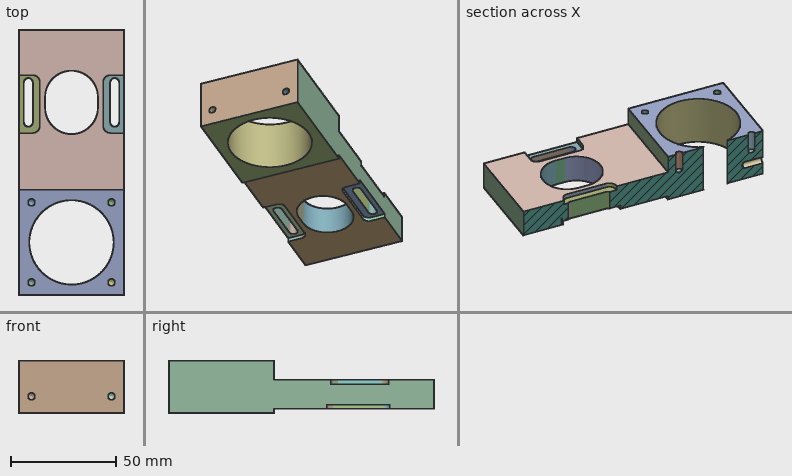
import cadquery as cq
import math

WIDTH = 50.0
TOTAL_LENGTH = 126.0
BLOCK_LENGTH = 50.0
BLOCK_HEIGHT = 25.0
ARM_BOTTOM = 2.0
ARM_TOP = 16.0

BORE_DIAMETER = 40.0

SCREW_DIAMETER = 3.3
SCREW_DEPTH = 10.0
SCREW_SPACING = 38.0
DRILL_POINT_ANGLE = 118.0
FRONT_SCREW_HEIGHT = 8.0

WINDOW_WIDTH = 25.0
WINDOW_LENGTH = 30.0
WINDOW_Y = TOTAL_LENGTH - 34.5
SLOT_WIDTH = 4.2
SLOT_LENGTH = 23.0
SLOT_SPACING = 41.0

RECESS_REACH = 10.0
UPPER_RECESS_LENGTH = 27.5
UPPER_RECESS_Y = TOTAL_LENGTH - 35.3
UPPER_RECESS_DEPTH = 2.2
UPPER_RECESS_RADIUS = 3.5
LOWER_RECESS_LENGTH = 30.0
LOWER_RECESS_Y = TOTAL_LENGTH - 36.0
LOWER_RECESS_DEPTH = 2.0
LOWER_RECESS_RADIUS = 3.0

BLOCK_CENTER_Y = BLOCK_LENGTH / 2
SIDES = (-1, 1)


def box(length_y, start_y, bottom, top):
    """Full-width box running from start_y toward +Y."""
    return (
        cq.Workplane("XY", origin=(0, start_y, bottom))
        .rect(WIDTH, length_y)
        .extrude(top - bottom)
        .translate((0, length_y / 2, 0))
    )


def make_body():
    """Tall block at the front with the thinner arm behind it."""
    block = box(BLOCK_LENGTH, 0, 0, BLOCK_HEIGHT)
    arm = box(TOTAL_LENGTH - BLOCK_LENGTH, BLOCK_LENGTH, ARM_BOTTOM, ARM_TOP)
    return block.union(arm)


def bore():
    return cq.Workplane("XY").center(0, BLOCK_CENTER_Y).circle(BORE_DIAMETER / 2).extrude(BLOCK_HEIGHT)


def screw_hole(mouth, direction):
    """Blind hole with a conical tip, starting at mouth and running along direction."""
    radius = SCREW_DIAMETER / 2
    tip_length = radius / math.tan(math.radians(DRILL_POINT_ANGLE / 2))
    start = cq.Vector(*mouth)
    axis = cq.Vector(*direction)
    shaft = cq.Solid.makeCylinder(radius, SCREW_DEPTH, start, axis)
    tip = cq.Solid.makeCone(radius, 0, tip_length, start + axis * SCREW_DEPTH, axis)
    return cq.Workplane(obj=shaft).union(cq.Workplane(obj=tip))


def arm_slot(x, length, width):
    """Round-ended opening through the arm, long axis along Y."""
    return (
        cq.Workplane("XY", origin=(x, WINDOW_Y, ARM_BOTTOM))
        .slot2D(length, width, 90)
        .extrude(ARM_TOP - ARM_BOTTOM)
    )


def side_recess(side, center_y, length, bottom, depth, radius):
    """Shallow recess open at one side of the arm, its inner corners rounded."""
    return (
        cq.Workplane("XY", origin=(side * WIDTH / 2, center_y, bottom))
        .rect(2 * RECESS_REACH, length)
        .extrude(depth)
        .edges("|Z")
        .fillet(radius)
    )


result = make_body().cut(bore())

for side in SIDES:
    screw_x = side * SCREW_SPACING / 2
    for end in SIDES:
        screw_y = BLOCK_CENTER_Y + end * SCREW_SPACING / 2
        result = result.cut(screw_hole((screw_x, screw_y, BLOCK_HEIGHT), (0, 0, -1)))
    result = result.cut(screw_hole((screw_x, 0, FRONT_SCREW_HEIGHT), (0, 1, 0)))

result = result.cut(arm_slot(0, WINDOW_LENGTH, WINDOW_WIDTH))

for side in SIDES:
    result = result.cut(arm_slot(side * SLOT_SPACING / 2, SLOT_LENGTH, SLOT_WIDTH))
    upper_recess = side_recess(
        side,
        UPPER_RECESS_Y,
        UPPER_RECESS_LENGTH,
        ARM_TOP - UPPER_RECESS_DEPTH,
        UPPER_RECESS_DEPTH,
        UPPER_RECESS_RADIUS,
    )
    lower_recess = side_recess(
        side,
        LOWER_RECESS_Y,
        LOWER_RECESS_LENGTH,
        ARM_BOTTOM,
        LOWER_RECESS_DEPTH,
        LOWER_RECESS_RADIUS,
    )
    result = result.cut(upper_recess).cut(lower_recess)